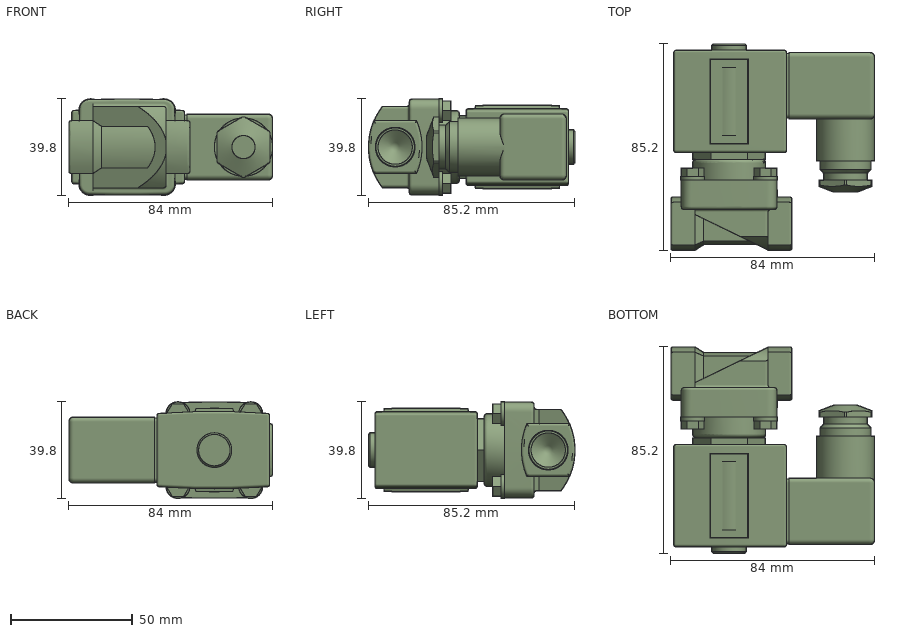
import cadquery as cq
import math


port_left_x = -24.0
port_right_x = 25.9
neck_left_x = -14.1
neck_right_x = 16.1
port_half_width = 10.9
port_half_depth = 11.1
port_crown_radius = 27.4
port_edge_fillet = 1.0
barrel_inset = 2.4
barrel_taper_length = 3.6
waist_half_width = 16.8
waist_corner_radius = 1.2
belly_inset = 0.1
waist_root_fillet = 1.0
pick_margin = 0.1
cut_start_y = 3.75
cut_end_y = -10.9

bore_mouth_radius = 8.2
bore_end_radius = 7.9
bore_depth = 11.9
drill_tip_radius = 7.1
drill_tip_depth = 4.3

flange_bottom_y = 5.8
flange_top_y = 18.0
flange_half_size = 19.6
flange_bulge = 0.25
flange_corner_radius = 4.0
flange_bottom_fillet = 1.2
bonnet_radius = 15.1
bonnet_top_y = 26.5
bonnet_fillet = 1.5
nut_diameter = 30.0
bolt_pitch = 30.0
washer_radius = 4.9
washer_thickness = 1.5
bolt_head_diameter = 9.45
bolt_head_height = 3.4

coil_left_x = -22.8
coil_right_x = 23.7
coil_bottom_y = 29.2
coil_top_y = 71.5
coil_half_height = 15.1
coil_crown = 15.9
coil_fillet = 1.0
cap_radius = 7.15
cap_top_y = 74.1
cap_chamfer = 0.7
plate_centre_y = 50.35
plate_base_width = 16.4
plate_base_length = 35.1
plate_top_width = 15.2
plate_top_length = 34.6
plate_top_z = 17.0
window_width = 5.4
window_length = 28.1
window_crown = 0.3

connector_left_x = 24.7
connector_right_x = 60.0
connector_bottom_y = 43.1
connector_top_y = 70.55
connector_half_height = 13.6
connector_fillet = 2.0
gasket_inset = 0.3
gland_radius = 12.0
gland_end_y = 25.8
collar_radius = 10.6
collar_end_y = 22.4
groove_radius = 9.0
groove_taper_end_y = 20.8
gland_nut_top_y = 18.0
gland_nut_tip_y = 12.95
gland_nut_flats = 22.0
gland_nut_corner_radius = 12.4
gland_nut_cone_rise = 2.4
cable_hole_radius = 4.8


def cylinder_y(radius, y_start, y_end, x=0.0, z=0.0):
    """Cylinder along Y between two heights."""
    axis_start = cq.Vector(x, y_start, z)
    return cq.Workplane(cq.Solid.makeCylinder(radius, y_end - y_start, axis_start, cq.Vector(0, 1, 0)))


def hexagon_y(diameter, y_start, y_end, x=0.0, z=0.0):
    """Hexagonal prism along Y, with two of its corners on the X direction."""
    plane = cq.Plane(origin=(x, y_start, z), xDir=(1, 0, 0), normal=(0, 1, 0))
    return cq.Workplane(plane).polygon(6, diameter).extrude(y_end - y_start)


def box_between(x_range, y_range, z_range):
    """Box given by its two limits on each axis."""
    size = [high - low for low, high in (x_range, y_range, z_range)]
    corner = (x_range[0], y_range[0], z_range[0])
    return cq.Workplane("XY").box(*size, centered=False).translate(corner)



def port_outline(x, inset):
    """Workplane at x with the port outline: two flats joined by two crowns, shrunk by the inset."""
    radius = port_crown_radius - inset
    half_width = port_half_width - inset
    crown_y = port_half_depth - inset
    edge_y = crown_y - radius + math.sqrt(radius**2 - half_width**2)
    return (
        cq.Workplane("YZ", origin=(x, 0, 0))
        .moveTo(-edge_y, -half_width)
        .lineTo(edge_y, -half_width)
        .threePointArc((crown_y, 0), (edge_y, half_width))
        .lineTo(-edge_y, half_width)
        .threePointArc((-crown_y, 0), (-edge_y, -half_width))
        .close()
    )


def make_port(outer_x, inner_x):
    """One pipe port, rounded at its outer end."""
    port = port_outline(outer_x, 0).extrude(inner_x - outer_x)
    outer_end = "<X" if outer_x < inner_x else ">X"
    return port.faces(outer_end).edges().fillet(port_edge_fillet)


def make_barrel():
    """Slim barrel joining the ports, tapering down from the left port."""
    barrel_x = neck_left_x + barrel_taper_length
    straight = port_outline(barrel_x, barrel_inset).extrude(neck_right_x - barrel_x)
    large_end = port_outline(neck_left_x, 0).wires().val()
    small_end = port_outline(barrel_x, barrel_inset).wires().val()
    taper = cq.Workplane(cq.Solid.makeLoft([large_end, small_end], True))
    return straight.union(taper)


def flange_outline(y):
    """Workplane at y with the square flange outline: bowed sides and round corners."""
    side = flange_half_size
    flat = side - flange_corner_radius
    mid = side + flange_bulge
    diagonal = flat + flange_corner_radius * math.sqrt(0.5)
    plane = cq.Plane(origin=(0, y, 0), xDir=(1, 0, 0), normal=(0, -1, 0))
    return (
        cq.Workplane(plane)
        .moveTo(-flat, -side)
        .threePointArc((0, -mid), (flat, -side))
        .threePointArc((diagonal, -diagonal), (side, -flat))
        .threePointArc((mid, 0), (side, flat))
        .threePointArc((diagonal, diagonal), (flat, side))
        .threePointArc((0, mid), (-flat, side))
        .threePointArc((-diagonal, diagonal), (-side, flat))
        .threePointArc((-mid, 0), (-side, -flat))
        .threePointArc((-diagonal, -diagonal), (-flat, -side))
        .close()
    )


def make_waist_and_flange():
    """Flange with the waist block below it; the waist has a round belly and a slanted seat face."""
    flange = flange_outline(flange_top_y).extrude(flange_top_y - flange_bottom_y)
    flange = flange.faces("<Y").edges().fillet(flange_bottom_fillet)

    waist = box_between(
        (neck_left_x, neck_right_x),
        (-port_half_depth, flange_bottom_y),
        (-waist_half_width, waist_half_width),
    )
    waist = waist.edges("|Y and >X").fillet(waist_corner_radius)
    body = flange.union(waist)
    root_edges = cq.selectors.BoxSelector(
        (neck_left_x + pick_margin, flange_bottom_y - pick_margin, -waist_half_width - pick_margin),
        (neck_right_x + pick_margin, flange_bottom_y + pick_margin, waist_half_width + pick_margin),
    )
    body = body.edges(root_edges).fillet(waist_root_fillet)

    belly_axis_y = port_crown_radius - port_half_depth
    belly = (
        cq.Workplane("YZ", origin=(port_left_x, 0, 0))
        .center(belly_axis_y, 0)
        .circle(port_crown_radius - belly_inset)
        .extrude(port_right_x - port_left_x)
    )
    seat_cut = (
        cq.Workplane("XY")
        .polyline([
            (neck_left_x, cut_start_y),
            (neck_right_x, cut_end_y),
            (neck_right_x, -port_half_depth),
            (neck_left_x, -port_half_depth),
        ])
        .close()
        .extrude(waist_half_width, both=True)
    )
    return body.intersect(belly).cut(seat_cut)


def make_pipe_bore(mouth_x, direction):
    """Tapered blind bore with a smaller conical drill tip; direction is +1 or -1 along X."""
    profile = (
        cq.Workplane("XY")
        .polyline([
            (mouth_x, 0),
            (mouth_x, bore_mouth_radius),
            (mouth_x + direction * bore_depth, bore_end_radius),
            (mouth_x + direction * bore_depth, drill_tip_radius),
            (mouth_x + direction * (bore_depth + drill_tip_depth), 0),
        ])
        .close()
    )
    return profile.revolve(360, (0, 0, 0), (1, 0, 0))


def make_bolt(x, z):
    """Hexagon bolt head on its washer."""
    washer_top_y = flange_top_y + washer_thickness
    washer = cylinder_y(washer_radius, flange_top_y, washer_top_y, x, z)
    return washer.union(hexagon_y(bolt_head_diameter, washer_top_y, washer_top_y + bolt_head_height, x, z))


def make_valve():
    bonnet = cylinder_y(bonnet_radius, flange_top_y, bonnet_top_y)
    bonnet = bonnet.faces(">Y").edges().fillet(bonnet_fillet)
    valve = (
        make_waist_and_flange()
        .union(make_port(port_left_x, neck_left_x))
        .union(make_port(port_right_x, neck_right_x))
        .union(make_barrel())
        .union(bonnet)
        .union(hexagon_y(nut_diameter, bonnet_top_y, coil_bottom_y))
    )
    for x in (-bolt_pitch / 2, bolt_pitch / 2):
        for z in (-bolt_pitch / 2, bolt_pitch / 2):
            valve = valve.union(make_bolt(x, z))
    valve = valve.cut(make_pipe_bore(port_left_x, 1))
    return valve.cut(make_pipe_bore(port_right_x, -1))



def make_label_plate():
    """Raised label plate with sloping sides and a slightly crowned window, on the top of the coil."""
    base_z = coil_half_height
    plate = (
        cq.Workplane("XY", origin=(0, plate_centre_y, base_z))
        .rect(plate_base_width, plate_base_length)
        .workplane(offset=plate_top_z - base_z)
        .rect(plate_top_width, plate_top_length)
        .loft(ruled=True)
    )
    window = (
        cq.Workplane("XZ", origin=(0, plate_centre_y, 0))
        .moveTo(-window_width / 2, base_z)
        .lineTo(-window_width / 2, plate_top_z)
        .threePointArc((0, plate_top_z + window_crown), (window_width / 2, plate_top_z))
        .lineTo(window_width / 2, base_z)
        .close()
        .extrude(window_length / 2, both=True)
    )
    return plate.union(window)


def make_coil():
    """Coil housing with bowed top and bottom, a label plate on each, and a round cap at the end."""
    housing = (
        cq.Workplane("XZ", origin=(0, coil_top_y, 0))
        .moveTo(coil_left_x, -coil_half_height)
        .threePointArc((0, -coil_crown), (coil_right_x, -coil_half_height))
        .lineTo(coil_right_x, coil_half_height)
        .threePointArc((0, coil_crown), (coil_left_x, coil_half_height))
        .close()
        .extrude(coil_top_y - coil_bottom_y)
        .edges()
        .fillet(coil_fillet)
    )
    cap = cylinder_y(cap_radius, coil_top_y, cap_top_y).faces(">Y").edges().chamfer(cap_chamfer)
    plate = make_label_plate()
    return housing.union(cap).union(plate).union(plate.mirror("XY"))



def make_gland_nut(x):
    """Hexagonal gland nut with trimmed corners and a conical face."""
    hexagon_diameter = gland_nut_flats / math.cos(math.pi / 6)
    nut = hexagon_y(hexagon_diameter, gland_nut_tip_y, gland_nut_top_y)
    nut = nut.rotate((0, 0, 0), (0, 1, 0), 30)
    cone_slope = gland_nut_cone_rise / (gland_nut_flats / 2 - cable_hole_radius)
    cone_end_y = gland_nut_tip_y + cone_slope * (gland_nut_corner_radius - cable_hole_radius)
    envelope = (
        cq.Workplane("XY")
        .polyline([
            (0, gland_nut_tip_y),
            (cable_hole_radius, gland_nut_tip_y),
            (gland_nut_corner_radius, cone_end_y),
            (gland_nut_corner_radius, gland_nut_top_y),
            (0, gland_nut_top_y),
        ])
        .close()
        .revolve(360, (0, 0, 0), (0, 1, 0))
    )
    return nut.intersect(envelope).translate((x, 0, 0))


def make_gland(x):
    """Stepped cable gland running down from the connector box."""
    stem = (
        cq.Workplane("XY")
        .polyline([
            (0, gland_nut_top_y),
            (groove_radius, gland_nut_top_y),
            (groove_radius, groove_taper_end_y),
            (collar_radius, collar_end_y),
            (collar_radius, gland_end_y),
            (gland_radius, gland_end_y),
            (gland_radius, connector_bottom_y + connector_fillet),
            (0, connector_bottom_y + connector_fillet),
        ])
        .close()
        .revolve(360, (0, 0, 0), (0, 1, 0))
        .translate((x, 0, 0))
    )
    cable_hole = cylinder_y(cable_hole_radius, gland_nut_tip_y, gland_end_y, x)
    return stem.union(make_gland_nut(x)).cut(cable_hole)


def make_connector():
    """Plug box on the side of the coil, with a thin gasket step and the cable gland."""
    box = box_between(
        (connector_left_x, connector_right_x),
        (connector_bottom_y, connector_top_y),
        (-connector_half_height, connector_half_height),
    )
    box = box.edges("|X or >X").fillet(connector_fillet)
    gasket_half_height = connector_half_height - gasket_inset
    gasket = box_between(
        (coil_right_x, connector_left_x),
        (connector_bottom_y + gasket_inset, connector_top_y - gasket_inset),
        (-gasket_half_height, gasket_half_height),
    )
    gasket = gasket.edges("|X").fillet(connector_fillet - gasket_inset)
    gland = make_gland(connector_right_x - gland_radius)
    return box.union(gasket).union(gland)


valve = make_valve()
coil = make_coil()
connector = make_connector()

result = cq.Compound.makeCompound([valve.val(), coil.val(), connector.val()])